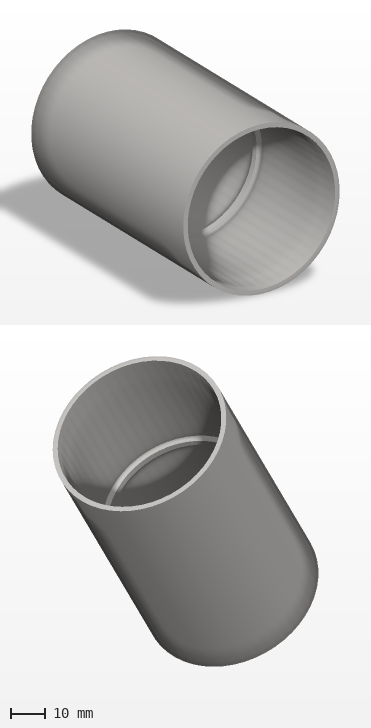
import cadquery as cq

length = 85.0
outer_diameter = 53.0
socket_diameter = 50.0
stop_diameter = 47.0
stop_crest_width = 2.0
stop_flank_run = 0.5

socket_radius = socket_diameter / 2
stop_radius = stop_diameter / 2
crest_half = stop_crest_width / 2
base_half = crest_half + stop_flank_run

sleeve = (
    cq.Workplane("YZ", origin=(-length / 2, 0, 0))
    .circle(outer_diameter / 2)
    .circle(socket_radius)
    .extrude(length)
)

stop_profile = [
    (-base_half, socket_radius),
    (-crest_half, stop_radius),
    (crest_half, stop_radius),
    (base_half, socket_radius),
]
stop_ring = cq.Workplane("XY").polyline(stop_profile).close().revolve(360, (0, 0, 0), (1, 0, 0))

result = sleeve.union(stop_ring)